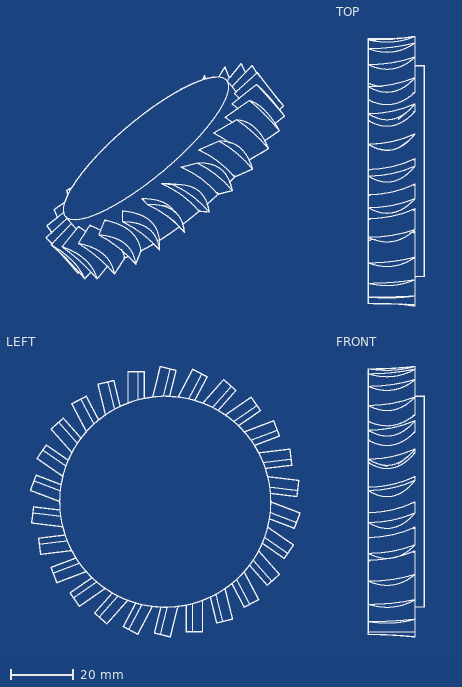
import cadquery as cq
import math

HUB_RADIUS = 34.0
HUB_WIDTH = 18.0

RECESS_RADIUS = 31.6
RECESS_DEPTH = 4.0
RECESS_WALL_RADIUS = 3.05

BLADE_COUNT = 26
BLADE_WIDTH = 15.1
BLADE_TIP_HEIGHT = 41.9
BLADE_ROOT_HEIGHT = HUB_RADIUS / 2
LEADING_EDGE_Y = 8.7
TRAILING_EDGE_Y = 12.0
BULGE_X = 5.9
BULGE_Y = 6.7


def make_hub():
    return cq.Workplane("YZ").circle(HUB_RADIUS).extrude(HUB_WIDTH)


def make_recess():
    """Revolved cutter: two equal arcs, tangent to each other, to the rim and to the floor."""
    half_depth = RECESS_DEPTH / 2
    wall_angle = math.acos(1 - half_depth / RECESS_WALL_RADIUS)

    def arc_offset(angle):
        run = RECESS_WALL_RADIUS * math.sin(angle)
        drop = RECESS_WALL_RADIUS * (1 - math.cos(angle))
        return run, drop

    half_run, half_drop = arc_offset(wall_angle)
    mid_run, mid_drop = arc_offset(wall_angle / 2)
    floor_radius = RECESS_RADIUS - 2 * half_run

    profile = (
        cq.Workplane("XY")
        .lineTo(0, RECESS_RADIUS)
        .threePointArc((mid_drop, RECESS_RADIUS - mid_run), (half_drop, RECESS_RADIUS - half_run))
        .threePointArc((RECESS_DEPTH - mid_drop, floor_radius + mid_run), (RECESS_DEPTH, floor_radius))
        .lineTo(RECESS_DEPTH, 0)
        .close()
    )
    return profile.revolve(360, (0, 0, 0), (1, 0, 0))


def make_blade():
    """Crescent blade standing up from the hub, offset to the +Y side of the axis."""
    leading_edge = (0, LEADING_EDGE_Y)
    trailing_edge = (BLADE_WIDTH, TRAILING_EDGE_Y)
    rise = TRAILING_EDGE_Y - LEADING_EDGE_Y

    hollow_side_radius = (BLADE_WIDTH**2 + rise**2) / (2 * rise)

    section = (
        cq.Workplane("XY", origin=(0, 0, BLADE_ROOT_HEIGHT))
        .moveTo(*trailing_edge)
        .radiusArc(leading_edge, hollow_side_radius)
        .spline([(BULGE_X, BULGE_Y), trailing_edge], includeCurrent=True)
        .close()
    )
    return section.extrude(BLADE_TIP_HEIGHT - BLADE_ROOT_HEIGHT)


blade = make_blade()
result = make_hub()
for index in range(BLADE_COUNT):
    turn = index * 360 / BLADE_COUNT
    result = result.union(blade.rotate((0, 0, 0), (1, 0, 0), turn))

result = result.cut(make_recess())